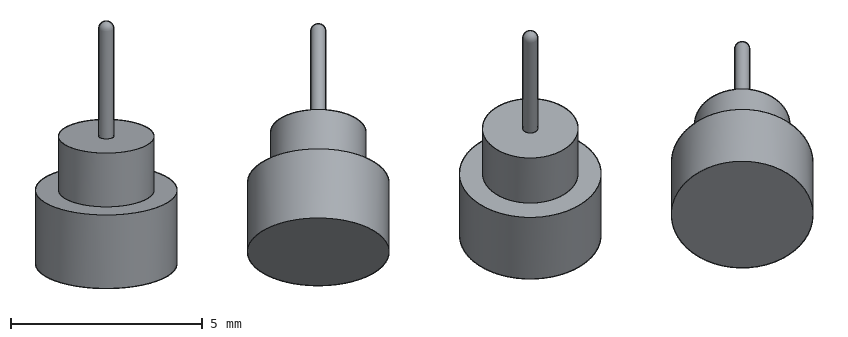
import cadquery as cq

total_height = 6.75
base_diameter = 3.7
base_height = 2.05
collar_diameter = 2.5
collar_height = 1.5
pin_diameter = 0.4

pin_radius = pin_diameter / 2
collar_top = base_height + collar_height
dome_start = total_height - pin_radius


def cylinder(diameter, bottom, top):
    """Upright cylinder on the Z axis between two heights."""
    return cq.Workplane("XY").workplane(offset=bottom).circle(diameter / 2).extrude(top - bottom)


base = cylinder(base_diameter, 0, base_height)
collar = cylinder(collar_diameter, base_height, collar_top)

pin = cylinder(pin_diameter, collar_top, dome_start)
tip = cq.Workplane("XY").sphere(pin_radius).translate((0, 0, dome_start))

result = base.union(collar).union(pin).union(tip)